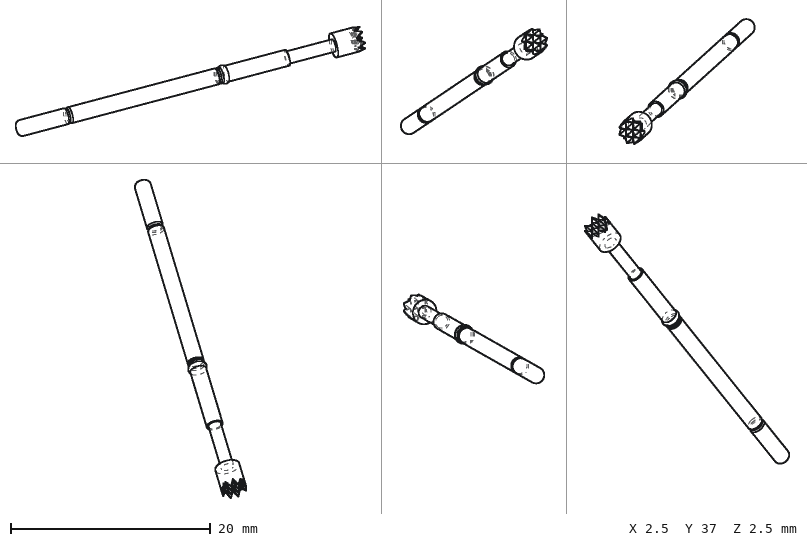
import cadquery as cq
import math

total_length = 37.0
tip_y = total_length / 2

head_diameter = 2.5
head_length = 2.95
plunger_diameter = 1.3
barrel_diameter = 1.65
barrel_start = 7.95
tail_round = 0.48

collar_diameter = 1.92
collar_start = 14.5
collar_width = 0.55

groove_depth = 0.07
stop_groove_start = 15.28
stop_groove_bottom = 15.45
stop_groove_end = 15.55
crimp_start = 31.3
crimp_bottom = 31.52
crimp_end = 31.75

grooves_across = 3
groove_pitch = 0.78
groove_angle = 55.0


def turned_cylinder(diameter, start, length):
    """Cylinder along -Y whose near face lies `start` from the head tip."""
    near_face = cq.Workplane("XZ", origin=(0, tip_y - start, 0))
    return near_face.circle(diameter / 2).extrude(length)


def revolve_profile(profile):
    """Turn a closed XY profile about the Y axis."""
    return profile.close().revolve(360, (0, 0, 0), (0, 1, 0))


def collar():
    """Raised ring with a crowned rim."""
    barrel_radius = barrel_diameter / 2
    upper_y = tip_y - collar_start
    lower_y = upper_y - collar_width
    rim = (collar_diameter / 2, (upper_y + lower_y) / 2)
    profile = (
        cq.Workplane("XY")
        .moveTo(0, upper_y)
        .lineTo(barrel_radius, upper_y)
        .threePointArc(rim, (barrel_radius, lower_y))
        .lineTo(0, lower_y)
    )
    return revolve_profile(profile)


def v_groove(start, bottom, end):
    """V-shaped ring to cut from the barrel surface, placed by distances from the head tip."""
    surface_radius = barrel_diameter / 2
    profile = (
        cq.Workplane("XY")
        .moveTo(surface_radius, tip_y - start)
        .lineTo(surface_radius - groove_depth, tip_y - bottom)
        .lineTo(surface_radius, tip_y - end)
    )
    return revolve_profile(profile)


def serration_grooves():
    """Parallel V grooves along Z that leave a row of pointed ridges at the tip."""
    serration_depth = groove_pitch / 2 / math.tan(math.radians(groove_angle / 2))
    grooves = cq.Workplane("XY")
    for index in range(grooves_across):
        center_x = (index - (grooves_across - 1) / 2) * groove_pitch
        groove = (
            cq.Workplane("XY")
            .moveTo(center_x - groove_pitch / 2, tip_y)
            .lineTo(center_x, tip_y - serration_depth)
            .lineTo(center_x + groove_pitch / 2, tip_y)
            .close()
            .extrude(head_diameter, both=True)
        )
        grooves = grooves.add(groove)
    return grooves.combine()


def head():
    """Cylinder whose face is cut by two crossing sets of grooves into pyramid teeth."""
    grooves = serration_grooves()
    crossing_grooves = grooves.rotate((0, 0, 0), (0, 1, 0), 90)
    return turned_cylinder(head_diameter, 0, head_length).cut(grooves).cut(crossing_grooves)


plunger = turned_cylinder(plunger_diameter, head_length, barrel_start - head_length)
barrel = turned_cylinder(barrel_diameter, barrel_start, total_length - barrel_start)
barrel = barrel.faces("<Y").edges().fillet(tail_round)
barrel = barrel.union(collar())
barrel = barrel.cut(v_groove(stop_groove_start, stop_groove_bottom, stop_groove_end))
barrel = barrel.cut(v_groove(crimp_start, crimp_bottom, crimp_end))

result = barrel.union(plunger).union(head())